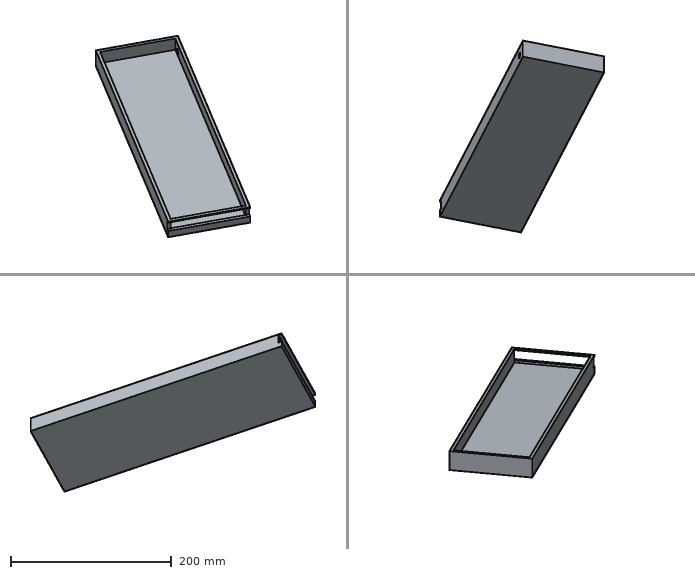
import cadquery as cq

length = 340.5
width = 106.0
height = 25.5
wall = 4.5
floor_thickness = 7.0

window_bottom = 10.2
window_top = 24.0

hole_diameter = 6.8
hole_x = 14.5
hole_z = 12.5

tray = cq.Workplane("XY").box(length, width, height, centered=False)
cavity = (
    cq.Workplane("XY")
    .box(length - 2 * wall, width - 2 * wall, height - floor_thickness, centered=False)
    .translate((wall, wall, floor_thickness))
)

window = (
    cq.Workplane("XY")
    .box(wall, width, window_top - window_bottom, centered=False)
    .translate((length - wall, 0, window_bottom))
)

side_hole = (
    cq.Workplane("XZ", origin=(hole_x, width - wall, hole_z))
    .circle(hole_diameter / 2)
    .extrude(-wall)
)

result = tray.cut(cavity).cut(window).cut(side_hole)